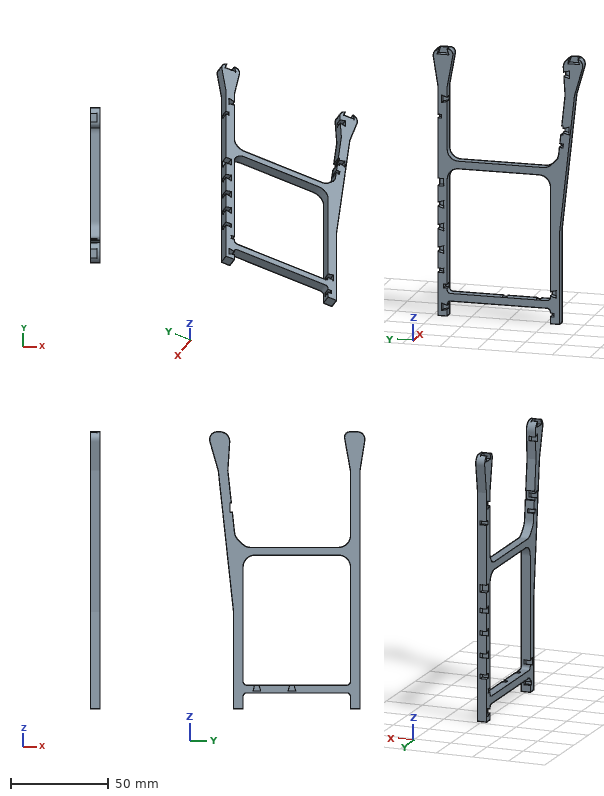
import cadquery as cq
import math


THICKNESS = 5.0
HEIGHT = 142.23
FRAME_WIDTH = 65.0
LEG_WIDTH = 5.0
BAR_HEIGHT = 4.1
LOWER_BAR_TOP = 12.2
UPPER_BAR_TOP = 82.9
LOWER_BAR_RADIUS = 1.8
UPPER_BAR_RADIUS = 6.0

ARM_START_Z = 49.6
NECK_Z = 122.2
ARM_LEAN = 0.108
BRACE_FOOT_Y = 6.3

BACK_HEAD_OUTER_Y = 68.19
BACK_HEAD_OUTER_RADIUS = 4.0
BACK_HEAD_INNER_Y = 56.4
BACK_HEAD_INNER_RADIUS = 2.9
FRONT_HEAD_OUTER_Y = -13.58
FRONT_HEAD_OUTER_RADIUS = 4.0
FRONT_HEAD_INNER_Y = -1.55
FRONT_HEAD_INNER_RADIUS = 5.0

SLOT_X_DEPTH = 3.5
DEEP_SLOT = 3.1
DOVETAIL_MOUTH = 2.2
DOVETAIL_FLOOR = 4.0
HEAD_DOVETAIL_MOUTH = 4.4
HEAD_DOVETAIL_FLOOR = 6.2
WIDE_SLOT = 4.0
NARROW_SLOT = 2.3
KEY_SLOT = 2.0
KEY_DEPTH = 1.9
MOUTH_OVERRUN = 1.0

ROW_WIDE_SLOT_Z = 71.1
ROW_FIRST_DOVETAIL_Z = 59.3
ROW_DOVETAIL_COUNT = 3
ROW_DOVETAIL_PITCH = 12.0
ROW_NARROW_SLOT_Z = 24.1

LOWER_PAIR_Z = 4.7
UPPER_PAIR_Z = 15.9
BACK_ARM_SLOT_Z = 115.4
BACK_ARM_KEY_Z = 106.1
BACK_HEAD_SLOT_Y = 62.3
FRONT_HEAD_SLOT_Y = -7.4
FRONT_HEAD_SIDE_SLOT_Z = 133.3
FRONT_HEAD_SIDE_SLOT_Y = -2.0
FRONT_ARM_KEY_Z = 95.3

SEAT_Z = 103.3
SEAT_HEIGHT = 4.8
SEAT_FACE_Y = -1.74

BAR_SLOT_X_DEPTH = 2.0
BAR_SLOT_YS = (12.0, 30.0)

TOWARD_BACK = 0.0
TOWARD_FRONT = 180.0
DOWN = 270.0

INNER_BACK_Y = FRAME_WIDTH - LEG_WIDTH
LEAN_ANGLE = math.atan(ARM_LEAN)
ARM_WIDTH_IN_Y = LEG_WIDTH / math.cos(LEAN_ANGLE)


def arm_outer_y(z):
    return -ARM_LEAN * (z - ARM_START_Z)


def arm_inner_y(z):
    return arm_outer_y(z) + ARM_WIDTH_IN_Y


def brace_top():
    """Point where the 45 degree brace meets the inner face of the slanted arm."""
    rise = (BRACE_FOOT_Y - arm_inner_y(UPPER_BAR_TOP)) / (1 - ARM_LEAN)
    return BRACE_FOOT_Y - rise, UPPER_BAR_TOP + rise


def rounded_profile(corners):
    """Closed YZ wire through (y, z, radius) corners, each rounded by its own radius."""
    stretches = []
    for i, (y, z, radius) in enumerate(corners):
        corner = cq.Vector(y, z)
        to_last = (cq.Vector(*corners[i - 1][:2]) - corner).normalized()
        to_next = (cq.Vector(*corners[(i + 1) % len(corners)][:2]) - corner).normalized()
        half_angle = to_last.getAngle(to_next) / 2
        setback = radius / math.tan(half_angle)
        bulge = radius / math.sin(half_angle) - radius
        middle = corner + (to_last + to_next).normalized() * bulge
        stretches.append((radius, corner + to_last * setback, middle, corner + to_next * setback))

    profile = cq.Workplane("YZ").moveTo(*stretches[0][3].toTuple()[:2])
    for radius, start, middle, end in stretches[1:] + stretches[:1]:
        profile = profile.lineTo(*start.toTuple()[:2])
        if radius > 0:
            profile = profile.threePointArc(middle.toTuple()[:2], end.toTuple()[:2])
    return profile.close()


def make_frame():
    lower_bar_bottom = LOWER_BAR_TOP - BAR_HEIGHT
    outline = rounded_profile([
        (LEG_WIDTH, 0, 0),
        (0, 0, 0),
        (0, ARM_START_Z, 0),
        (arm_outer_y(NECK_Z), NECK_Z, 0),
        (FRONT_HEAD_OUTER_Y, HEIGHT, FRONT_HEAD_OUTER_RADIUS),
        (FRONT_HEAD_INNER_Y, HEIGHT, FRONT_HEAD_INNER_RADIUS),
        (arm_inner_y(NECK_Z), NECK_Z, 0),
        (*brace_top(), UPPER_BAR_RADIUS),
        (BRACE_FOOT_Y, UPPER_BAR_TOP, UPPER_BAR_RADIUS),
        (INNER_BACK_Y, UPPER_BAR_TOP, UPPER_BAR_RADIUS),
        (INNER_BACK_Y, NECK_Z, 0),
        (BACK_HEAD_INNER_Y, HEIGHT, BACK_HEAD_INNER_RADIUS),
        (BACK_HEAD_OUTER_Y, HEIGHT, BACK_HEAD_OUTER_RADIUS),
        (FRAME_WIDTH, NECK_Z, 0),
        (FRAME_WIDTH, 0, 0),
        (INNER_BACK_Y, 0, 0),
        (INNER_BACK_Y, lower_bar_bottom, LOWER_BAR_RADIUS),
        (LEG_WIDTH, lower_bar_bottom, LOWER_BAR_RADIUS),
    ])
    upper_bar_bottom = UPPER_BAR_TOP - BAR_HEIGHT
    window = rounded_profile([
        (LEG_WIDTH, LOWER_BAR_TOP, LOWER_BAR_RADIUS),
        (LEG_WIDTH, upper_bar_bottom, UPPER_BAR_RADIUS),
        (INNER_BACK_Y, upper_bar_bottom, UPPER_BAR_RADIUS),
        (INNER_BACK_Y, LOWER_BAR_TOP, LOWER_BAR_RADIUS),
    ])
    return outline.extrude(THICKNESS).cut(window.extrude(THICKNESS))


def slot(y, z, inward, mouth, floor, depth, x_start=0.0, x_depth=SLOT_X_DEPTH):
    """Cutter entering the edge at (y, z), widening from mouth to floor along the inward direction."""
    half_section = [(-MOUTH_OVERRUN, mouth / 2), (0, mouth / 2), (depth, floor / 2)]
    section = half_section + [(along, -across) for along, across in reversed(half_section)]
    return (
        cq.Workplane("YZ")
        .polyline(section)
        .close()
        .extrude(x_depth)
        .rotate((0, 0, 0), (1, 0, 0), inward)
        .translate((x_start, y, z))
    )


def dovetail(y, z, inward):
    return slot(y, z, inward, DOVETAIL_MOUTH, DOVETAIL_FLOOR, DEEP_SLOT)


def straight_slot(y, z, inward, width):
    return slot(y, z, inward, width, width, DEEP_SLOT)


def key_slot(y, z, inward):
    return slot(y, z, inward, KEY_SLOT, KEY_SLOT, KEY_DEPTH)


def head_dovetail(y):
    return slot(y, HEIGHT, DOWN, HEAD_DOVETAIL_MOUTH, HEAD_DOVETAIL_FLOOR, DEEP_SLOT)


def back_leg_slots():
    dovetail_zs = [ROW_FIRST_DOVETAIL_Z - i * ROW_DOVETAIL_PITCH for i in range(ROW_DOVETAIL_COUNT)]
    return [
        straight_slot(FRAME_WIDTH, ROW_WIDE_SLOT_Z, TOWARD_FRONT, WIDE_SLOT),
        *[dovetail(FRAME_WIDTH, z, TOWARD_FRONT) for z in dovetail_zs],
        straight_slot(FRAME_WIDTH, ROW_NARROW_SLOT_Z, TOWARD_FRONT, NARROW_SLOT),
        key_slot(FRAME_WIDTH, BACK_ARM_KEY_Z, TOWARD_FRONT),
        dovetail(INNER_BACK_Y, BACK_ARM_SLOT_Z, TOWARD_BACK),
        key_slot(INNER_BACK_Y, UPPER_PAIR_Z, TOWARD_BACK),
        dovetail(INNER_BACK_Y, LOWER_PAIR_Z, TOWARD_BACK),
        head_dovetail(BACK_HEAD_SLOT_Y),
    ]


def front_leg_slots():
    square_to_arm = TOWARD_FRONT + math.degrees(LEAN_ANGLE)
    return [
        dovetail(LEG_WIDTH, UPPER_PAIR_Z, TOWARD_FRONT),
        key_slot(LEG_WIDTH, LOWER_PAIR_Z, TOWARD_FRONT),
        key_slot(arm_inner_y(FRONT_ARM_KEY_Z), FRONT_ARM_KEY_Z, square_to_arm),
        dovetail(SEAT_FACE_Y, SEAT_Z, TOWARD_FRONT),
        dovetail(FRONT_HEAD_SIDE_SLOT_Y, FRONT_HEAD_SIDE_SLOT_Z, TOWARD_FRONT),
        head_dovetail(FRONT_HEAD_SLOT_Y),
    ]


def arm_seat():
    """Through cut whose floor is a vertical face on the inner side of the slanted arm."""
    seat_run = arm_inner_y(SEAT_Z - SEAT_HEIGHT / 2) - SEAT_FACE_Y + MOUTH_OVERRUN
    return cq.Workplane("XY").box(THICKNESS, seat_run, SEAT_HEIGHT, centered=(False, False, True)).translate(
        (0, SEAT_FACE_Y, SEAT_Z)
    )


def lower_bar_slots():
    return [
        slot(
            y, LOWER_BAR_TOP, DOWN, DOVETAIL_MOUTH, DOVETAIL_FLOOR, DEEP_SLOT,
            x_start=THICKNESS - BAR_SLOT_X_DEPTH, x_depth=BAR_SLOT_X_DEPTH,
        )
        for y in BAR_SLOT_YS
    ]


result = make_frame().cut(arm_seat())
for cutter in back_leg_slots() + front_leg_slots() + lower_bar_slots():
    result = result.cut(cutter)